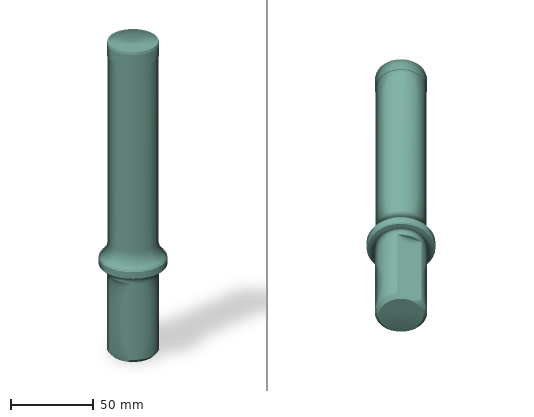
import cadquery as cq
import math

TOTAL_HEIGHT = 213.0
BODY_RADIUS = 32.0 / 2
SHAFT_RADIUS = 31.0 / 2
COLLAR_RADIUS = 42.0 / 2

SHANK_LENGTH = 60.0
SHANK_CHAMFER_HEIGHT = 2.5
SHANK_CHAMFER_WIDTH = 2.3
FLAT_DEPTH = 2.1
FLAT_TOP = 55.2

COLLAR_LOWER_CHAMFER = 0.6
COLLAR_RIM_TOP = 65.2
RIM_CHAMFER_WIDTH = 0.9
RIM_CHAMFER_HEIGHT = 1.3
FLARE_TOP = 76.3

TIP_LENGTH = 9.4
TIP_TOP_RADIUS = 31.0 / 2
TIP_CHAMFER_HEIGHT = 1.7
TIP_CENTRE_RADIUS = 15.5 / 2
TIP_DISH_DEPTH = 0.2

TIP_BASE = TOTAL_HEIGHT - TIP_LENGTH


def flare_middle(start, end):
    """Mid-point of the arc that leaves end vertically and curves outward to start."""
    width = start[0] - end[0]
    height = end[1] - start[1]
    radius = (width**2 + height**2) / (2 * width)
    half_angle = math.asin(height / radius) / 2
    return (
        end[0] + radius * (1 - math.cos(half_angle)),
        end[1] - radius * math.sin(half_angle),
    )


def revolve_about_z(profile):
    """Turn a closed outline in the XZ plane around the Z axis."""
    return profile.revolve(360, (0, 0, 0), (0, 1, 0))


def cut_drive_flat(body):
    """Cut the flat on the -Y side of the shank, open at the lower end."""
    cutter = cq.Workplane("XY").box(
        2 * BODY_RADIUS, FLAT_DEPTH, FLAT_TOP, centered=(True, False, False)
    )
    return body.cut(cutter.translate((0, -BODY_RADIUS, 0)))


def make_holder():
    """Round shaft with a flared collar and a chamfered shank."""
    flare_start = (COLLAR_RADIUS - RIM_CHAMFER_WIDTH, COLLAR_RIM_TOP + RIM_CHAMFER_HEIGHT)
    flare_end = (SHAFT_RADIUS, FLARE_TOP)
    profile = (
        cq.Workplane("XZ")
        .moveTo(0, 0)
        .lineTo(BODY_RADIUS - SHANK_CHAMFER_WIDTH, 0)
        .lineTo(BODY_RADIUS, SHANK_CHAMFER_HEIGHT)
        .lineTo(BODY_RADIUS, SHANK_LENGTH)
        .lineTo(COLLAR_RADIUS - COLLAR_LOWER_CHAMFER, SHANK_LENGTH)
        .lineTo(COLLAR_RADIUS, SHANK_LENGTH + COLLAR_LOWER_CHAMFER)
        .lineTo(COLLAR_RADIUS, COLLAR_RIM_TOP)
        .lineTo(*flare_start)
        .threePointArc(flare_middle(flare_start, flare_end), flare_end)
        .lineTo(SHAFT_RADIUS, TIP_BASE)
        .lineTo(0, TIP_BASE)
        .close()
    )
    return cut_drive_flat(revolve_about_z(profile))


def make_tip():
    """Disc on the end of the holder, with a shallow conical dish in the middle of its face."""
    profile = (
        cq.Workplane("XZ")
        .moveTo(0, TIP_BASE)
        .lineTo(BODY_RADIUS, TIP_BASE)
        .lineTo(BODY_RADIUS, TOTAL_HEIGHT - TIP_CHAMFER_HEIGHT)
        .lineTo(TIP_TOP_RADIUS, TOTAL_HEIGHT)
        .lineTo(TIP_CENTRE_RADIUS, TOTAL_HEIGHT)
        .lineTo(0, TOTAL_HEIGHT - TIP_DISH_DEPTH)
        .close()
    )
    return revolve_about_z(profile)


holder = make_holder()
tip = make_tip()

result = cq.Compound.makeCompound([holder.val(), tip.val()])